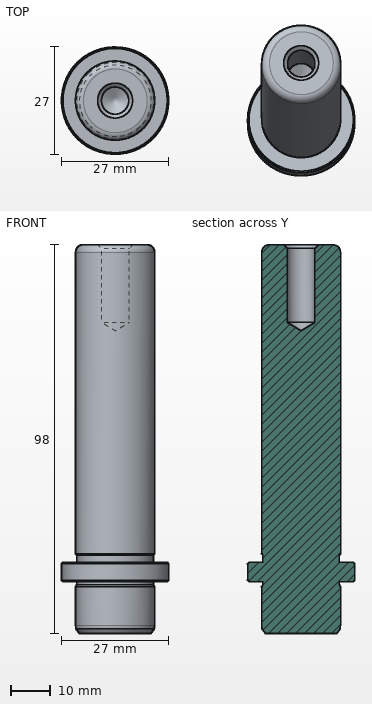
import cadquery as cq
import math

length = 98.0
shaft_radius = 10.0
top_round = 2.0

flange_radius = 13.5
flange_bottom = 13.0
flange_height = 5.0
flange_top = flange_bottom + flange_height
flange_chamfer = 0.4

groove_depth = 0.3
groove_radius = shaft_radius - groove_depth
upper_groove_top = 20.1
upper_groove_taper = 0.3
lower_groove_bottom = 11.8
lower_groove_taper = 0.6

lead_in_radius = 9.0
lead_in_chamfer_height = 1.2
lead_in_height = 2.1
lead_in_step = 0.1

hole_radius = 3.4
hole_depth = 19.6
countersink_radius = 4.4
countersink_angle = 90.0
drill_point_angle = 118.0


def cone_height(radius_change, included_angle):
    return radius_change / math.tan(math.radians(included_angle / 2))


def revolve_about_z(profile):
    return profile.close().revolve(360, (0, 0, 0), (0, 1, 0))


def make_body():
    arc_center_radius = shaft_radius - top_round
    arc_center_z = length - top_round
    arc_middle = (
        arc_center_radius + top_round * math.cos(math.radians(45)),
        arc_center_z + top_round * math.sin(math.radians(45)),
    )
    profile = (
        cq.Workplane("XZ")
        .moveTo(0, 0)
        .lineTo(lead_in_radius, 0)
        .lineTo(shaft_radius - lead_in_step, lead_in_chamfer_height)
        .lineTo(shaft_radius, lead_in_height)
        .lineTo(shaft_radius, lower_groove_bottom)
        .lineTo(groove_radius, lower_groove_bottom + lower_groove_taper)
        .lineTo(groove_radius, flange_bottom)
        .lineTo(flange_radius - flange_chamfer, flange_bottom)
        .lineTo(flange_radius, flange_bottom + flange_chamfer)
        .lineTo(flange_radius, flange_top - flange_chamfer)
        .lineTo(flange_radius - flange_chamfer, flange_top)
        .lineTo(groove_radius, flange_top)
        .lineTo(groove_radius, upper_groove_top - upper_groove_taper)
        .lineTo(shaft_radius, upper_groove_top)
        .lineTo(shaft_radius, arc_center_z)
        .threePointArc(arc_middle, (arc_center_radius, length))
        .lineTo(0, length)
    )
    return revolve_about_z(profile)


def make_hole():
    hole_floor = length - hole_depth
    countersink_depth = cone_height(countersink_radius - hole_radius, countersink_angle)
    profile = (
        cq.Workplane("XZ")
        .moveTo(0, length)
        .lineTo(countersink_radius, length)
        .lineTo(hole_radius, length - countersink_depth)
        .lineTo(hole_radius, hole_floor)
        .lineTo(0, hole_floor - cone_height(hole_radius, drill_point_angle))
    )
    return revolve_about_z(profile)


result = make_body().cut(make_hole())